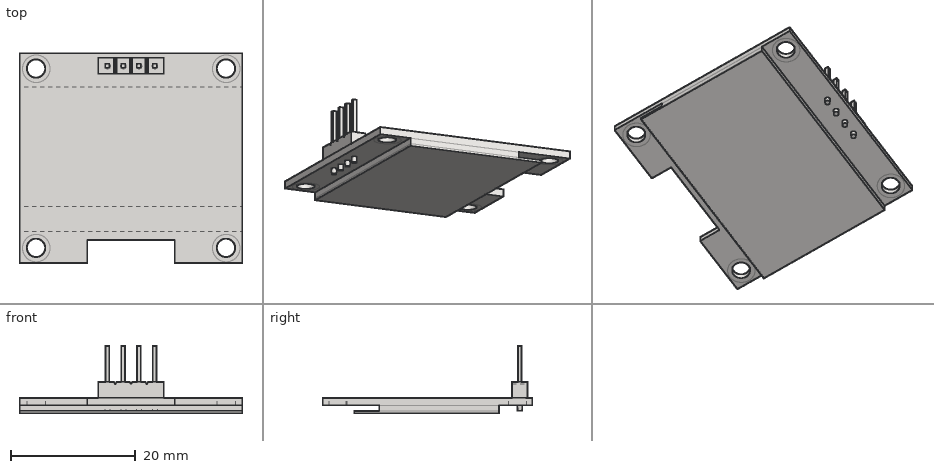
import cadquery as cq

board_width = 35.65
board_length = 33.6
board_thickness = 1.2

notch_width = 14.0
notch_depth = 3.7

hole_diameter = 2.9
pad_diameter = 4.4
hole_spacing_x = 30.4
hole_spacing_y = 28.7

display_back_margin = 5.33
backing_length = 19.2
backing_thickness = 0.9
cover_length = 23.2
cover_thickness = 0.4

pin_count = 4
pin_pitch = 2.52
pin_size = 0.62
pin_length_above_header = 5.76
header_width = 10.5
header_depth = 2.54
header_height = 2.54
header_back_margin = 0.76
groove_width = 0.42
groove_depth = 0.3

joint_length = 0.9
joint_top_diameter = 0.86
joint_bottom_diameter = 0.78

board_back_y = board_length / 2
board_front_y = -board_length / 2
header_y = board_back_y - header_back_margin - header_depth / 2


def corner_cylinders(diameter):
    """Cylinders through the board at the four mounting positions."""
    return (
        cq.Workplane("XY", origin=(0, 0, -board_thickness))
        .rect(hole_spacing_x, hole_spacing_y, forConstruction=True)
        .vertices()
        .circle(diameter / 2)
        .extrude(board_thickness)
    )


def make_board():
    """Notched plate with holes; the pads stay as separate faces level with the plate."""
    plate = cq.Workplane("XY").box(
        board_width, board_length, board_thickness, centered=(True, True, False)
    ).translate((0, 0, -board_thickness))
    notch = cq.Workplane("XY").box(
        notch_width, 2 * notch_depth, 2 * board_thickness
    ).translate((0, board_front_y, -board_thickness / 2))
    pads = corner_cylinders(pad_diameter)
    padded_plate = plate.cut(notch).cut(pads).union(pads, clean=False)
    return padded_plate.cut(corner_cylinders(hole_diameter), clean=False)


def display_sheet(length, thickness, top_z):
    """Full-width sheet that starts at the back margin and runs toward the front."""
    center_y = board_back_y - display_back_margin - length / 2
    return cq.Workplane("XY").box(board_width, length, thickness).translate(
        (0, center_y, top_z - thickness / 2)
    )


def make_header():
    """Header block with a V groove across its top between neighbouring pins."""
    block = cq.Workplane("XY").box(
        header_width, header_depth, header_height, centered=(True, True, False)
    ).translate((0, header_y, 0))
    for index in range(1, pin_count):
        groove_x = (index - pin_count / 2) * pin_pitch
        groove = (
            cq.Workplane("XZ", origin=(groove_x, header_y, header_height))
            .moveTo(-groove_width / 2, 0)
            .lineTo(0, -groove_depth)
            .lineTo(groove_width / 2, 0)
            .close()
            .extrude(header_depth, both=True)
        )
        block = block.cut(groove)
    return block


def make_pin(index):
    """Square pin through the header and the board, ending in a round solder joint."""
    pin_x = (index - (pin_count - 1) / 2) * pin_pitch
    pin_top_z = header_height + pin_length_above_header
    pin = cq.Workplane("XY").box(
        pin_size, pin_size, pin_top_z + board_thickness, centered=(True, True, False)
    ).translate((pin_x, header_y, -board_thickness))
    joint = (
        cq.Workplane("XY", origin=(pin_x, header_y, -board_thickness))
        .circle(joint_top_diameter / 2)
        .workplane(offset=-joint_length)
        .circle(joint_bottom_diameter / 2)
        .loft()
    )
    return pin.union(joint)


backing_top_z = -board_thickness
cover_top_z = backing_top_z - backing_thickness

result = make_board()
result = result.union(display_sheet(backing_length, backing_thickness, backing_top_z), clean=False)
result = result.union(display_sheet(cover_length, cover_thickness, cover_top_z), clean=False)
result = result.union(make_header(), clean=False)
for pin_index in range(pin_count):
    result = result.union(make_pin(pin_index), clean=False)
result = result.solids()